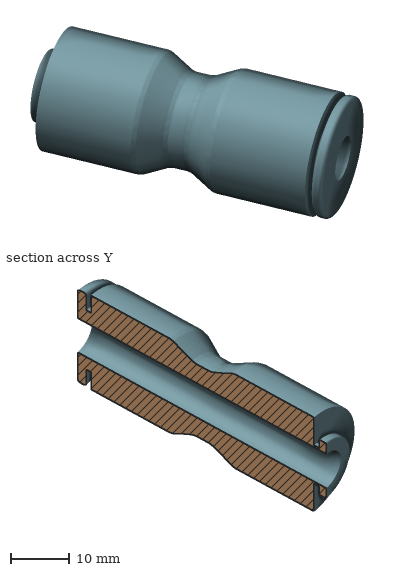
import cadquery as cq

total_length = 54.85
body_start = 2.7
body_end = 51.9
body_diameter = 22.1
body_radius = body_diameter / 2
bore_radius = 3.95

waist_radius = 8.5
waist_half_length = 1.9
waist_half_opening = 6.8
waist_blend = 1.85

small_flange_radius = 6.55
small_flange_width = 1.6
small_neck_radius = 4.55
small_edge_round = 0.35

large_flange_radius = 10.85
large_flange_width = 2.0
large_neck_radius = 7.0
large_edge_round = 0.65


def cylinder(start, end, radius):
    """Cylinder along X between two positions."""
    return cq.Workplane("YZ", origin=(start, 0, 0)).circle(radius).extrude(end - start)


def flange(start, width, radius, edge_round):
    """Disc with both rims rounded."""
    return cylinder(start, start + width, radius).edges("%CIRCLE").fillet(edge_round)


def waisted_body():
    """Cylindrical body with a conical waist and blended transitions."""
    middle = (body_start + body_end) / 2
    profile = [
        (body_start, 0),
        (body_start, body_radius),
        (middle - waist_half_opening, body_radius),
        (middle - waist_half_length, waist_radius),
        (middle + waist_half_length, waist_radius),
        (middle + waist_half_opening, body_radius),
        (body_end, body_radius),
        (body_end, 0),
    ]
    turned = cq.Workplane("XY").polyline(profile).close().revolve(360, (0, 0, 0), (1, 0, 0))
    end_margin = 0.55
    transitions = turned.edges("%CIRCLE").edges(
        cq.selectors.BoxSelector(
            (body_start + end_margin, -body_radius, -body_radius),
            (body_end - end_margin, body_radius, body_radius),
        )
    )
    return transitions.fillet(waist_blend)


large_flange_start = total_length - large_flange_width

result = (
    waisted_body()
    .union(flange(0, small_flange_width, small_flange_radius, small_edge_round))
    .union(cylinder(small_flange_width, body_start, small_neck_radius))
    .union(cylinder(body_end, large_flange_start, large_neck_radius))
    .union(flange(large_flange_start, large_flange_width, large_flange_radius, large_edge_round))
    .cut(cylinder(0, total_length, bore_radius))
)